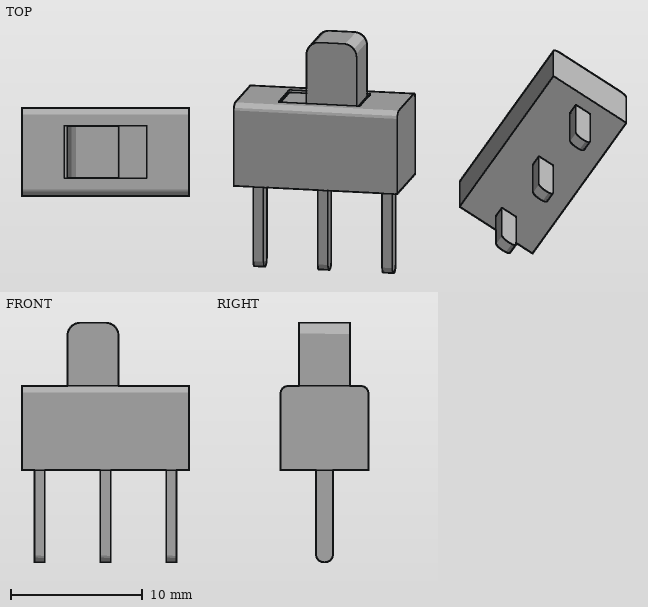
import cadquery as cq


housing_length = 12.7
housing_width = 6.7
housing_height = 6.4
housing_edge_radius = 0.6

lever_length = 3.9
lever_side_gap = 0.05
recess_length = 6.3
recess_width = 4.0
recess_depth = 0.2
recess_corner_radius = 0.1
recess_floor_z = housing_height - recess_depth

lever_width = recess_width - 2 * lever_side_gap
lever_rise = 4.8
lever_height = lever_rise + recess_depth
lever_top_radius = 1.0
lever_end_gap = 0.25
lever_x = -recess_length / 2 + lever_end_gap + lever_length / 2

pin_count = 3
pin_pitch = 5.0
pin_thickness = 0.8
pin_width = 1.3
pin_length = 7.0
pin_tip_radius = 0.6


def make_housing():
    """Block with its two long top edges rounded and a shallow recess in the top."""
    block = (
        cq.Workplane("XY")
        .box(housing_length, housing_width, housing_height, centered=(True, True, False))
        .edges("|X and >Z")
        .fillet(housing_edge_radius)
    )
    recess = (
        cq.Workplane("XY")
        .workplane(offset=recess_floor_z)
        .rect(recess_length, recess_width)
        .extrude(recess_depth)
        .edges("|Z")
        .fillet(recess_corner_radius)
    )
    return block.cut(recess)


def make_lever():
    """Upright lever with its two top edges across the travel rounded."""
    return (
        cq.Workplane("XY")
        .box(lever_length, lever_width, lever_height, centered=(True, True, False))
        .edges("|Y and >Z")
        .fillet(lever_top_radius)
        .translate((lever_x, 0, recess_floor_z))
    )


def make_pin(x):
    """Flat pin hanging from the housing underside, its tip rounded across the width."""
    return (
        cq.Workplane("XY")
        .rect(pin_thickness, pin_width)
        .extrude(-pin_length)
        .edges("|X and <Z")
        .fillet(pin_tip_radius)
        .translate((x, 0, 0))
    )


housing = make_housing()
lever = make_lever()
pins = []
for index in range(pin_count):
    pin_x = (index - (pin_count - 1) / 2) * pin_pitch
    pins.append(make_pin(pin_x))

result = cq.Compound.makeCompound([housing.val(), lever.val(), *[pin.val() for pin in pins]])